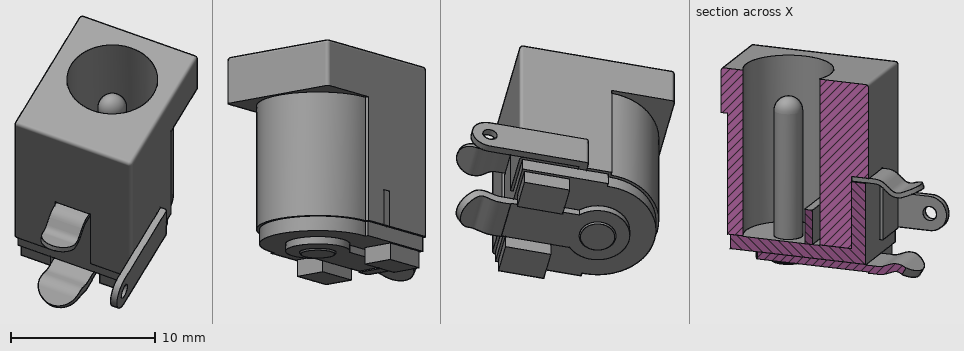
import cadquery as cq
import math


housing_width = 9.0
housing_height = 12.1
back_y = 4.5
front_y = -6.5
edge_radius = 0.25
socket_radius = 3.15
barrel_radius = 4.25
overhang_height = 3.3

base_inset = 0.2
base_thickness = 1.03
foot_height = 1.17
foot_width = 2.25
foot_length = 3.22
foot_outer_x = 4.12
foot_back_y = -2.9
tongue_width = 2.7
tongue_top = 4.9
slot_end_y = -5.22
base_front_y = front_y + base_inset

pin_radius = 1.0
pin_top = 10.09
rivet_neck_radius = 0.78
rivet_neck_length = 0.09
rivet_radius = 1.28
rivet_end_radius = 1.19
rivet_thickness = 0.12

spring_width = 2.5
spring_thickness = 0.35
spring_flat_end_y = -6.89
spring_slope = 40
spring_tip_slope = 20
spring_first_radius = 1.09
spring_ramp_length = 0.58
spring_second_radius = 0.87
spring_tip_length = 1.12

hub_radius = 2.23
hub_thickness = 0.52
tab_width = 3.03
tab_thickness = 0.61
tab_flat_end_y = -7.19
tab_slope = 22
tab_tip_slope = 30
tab_first_radius = 1.54
tab_ramp_length = 0.46
tab_second_radius = 0.93
tab_tip_length = 0.97

side_height = 2.5
side_thickness = 0.5
cross_thickness = 0.6
cross_back_y = -1.74
side_end_y = -10.0
side_corner_radius = 0.17
side_hole_diameter = 1.0


def box_between(x_range, y_range, z_range):
    size = [high - low for low, high in (x_range, y_range, z_range)]
    low_corner = (x_range[0], y_range[0], z_range[0])
    return cq.Workplane("XY").box(*size, centered=False).translate(low_corner)


def lower_outline_prism(inset, z_bottom, height):
    """Square front half and round back half of the lower housing, moved inwards by inset."""
    half_width = housing_width / 2 - inset
    radius = barrel_radius - inset
    return (
        cq.Workplane("XY", origin=(0, 0, z_bottom))
        .moveTo(-half_width, front_y + inset)
        .lineTo(half_width, front_y + inset)
        .lineTo(half_width, -inset)
        .lineTo(radius, -inset)
        .lineTo(radius, 0)
        .threePointArc((0, radius), (-radius, 0))
        .lineTo(-radius, -inset)
        .lineTo(-half_width, -inset)
        .close()
        .extrude(height)
    )


def bend(radius, start_slope, end_slope):
    """Forward and upward travel of an arc between two slopes, in degrees."""
    start = math.radians(start_slope)
    end = math.radians(end_slope)
    side = math.copysign(radius, end - start)
    return side * (math.sin(end) - math.sin(start)), side * (math.cos(start) - math.cos(end))


def straight(length, slope):
    angle = math.radians(slope)
    return length * math.cos(angle), length * math.sin(angle)


def wavy_strip(start_y, top_z, flat_end_y, width, thickness, radii, lengths, slopes):
    """Strip running to -Y: flat, bend, ramp, opposite bend and a straight tip with a round end."""
    ramp_slope, tip_slope = slopes
    steps = [
        (start_y - flat_end_y, 0),
        bend(radii[0], 0, ramp_slope),
        straight(lengths[0], ramp_slope),
        bend(radii[1], ramp_slope, tip_slope),
        straight(lengths[1], tip_slope),
    ]
    middle_z = top_z - thickness / 2
    side_plane = cq.Plane(origin=(0, start_y, middle_z), xDir=(0, -1, 0), normal=(-1, 0, 0))
    path = (
        cq.Workplane(side_plane)
        .line(*steps[0])
        .tangentArcPoint(steps[1])
        .line(*steps[2])
        .tangentArcPoint(steps[3])
        .line(*steps[4])
    )
    strip = cq.Workplane("XZ", origin=(0, start_y, middle_z)).rect(width, thickness).sweep(path)

    run = sum(step[0] for step in steps)
    rise = sum(step[1] for step in steps)
    forward_y, forward_z = straight(1, tip_slope)
    tip_plane = cq.Plane(
        origin=(0, start_y - run, middle_z + rise),
        xDir=(0, -forward_y, forward_z),
        normal=(0, forward_z, forward_y),
    )
    half_width = width / 2
    reach = 2 * run
    round_end = (
        cq.Workplane(tip_plane)
        .moveTo(-reach, -half_width)
        .lineTo(-half_width, -half_width)
        .threePointArc((0, 0), (-half_width, half_width))
        .lineTo(-reach, half_width)
        .close()
        .extrude(reach, both=True)
    )
    return strip.intersect(round_end)


def make_spring_terminal():
    return wavy_strip(
        slot_end_y,
        tongue_top + spring_thickness,
        spring_flat_end_y,
        spring_width,
        spring_thickness,
        (spring_first_radius, spring_second_radius),
        (spring_ramp_length, spring_tip_length),
        (-spring_slope, spring_tip_slope),
    )


def make_pin_terminal():
    top_z = -base_thickness
    tab = wavy_strip(
        front_y,
        top_z,
        tab_flat_end_y,
        tab_width,
        tab_thickness,
        (tab_first_radius, tab_second_radius),
        (tab_ramp_length, tab_tip_length),
        (tab_slope, -tab_tip_slope),
    )
    hub = cq.Workplane("XY", origin=(0, 0, top_z)).circle(hub_radius).extrude(-hub_thickness)
    neck = box_between(
        (-tab_width / 2, tab_width / 2), (front_y, 0), (top_z - hub_thickness, top_z)
    )
    rivet_hole = cq.Workplane("XY").circle(rivet_neck_radius).extrude(top_z - hub_thickness)
    return hub.union(neck).cut(rivet_hole).union(tab)


def make_side_terminal():
    wall_x = housing_width / 2
    outer_x = wall_x + side_thickness
    end_radius = side_height / 2
    cross_leg = box_between(
        (-wall_x, outer_x), (cross_back_y - cross_thickness, cross_back_y), (0, side_height)
    )
    cross_leg = cross_leg.edges("|Z and >X and >Y").fillet(side_corner_radius)
    end_center_y = side_end_y + end_radius
    side_leg = box_between(
        (wall_x, outer_x), (end_center_y, cross_back_y - cross_thickness), (0, side_height)
    )
    end_plane = cq.Workplane("YZ", origin=(wall_x, end_center_y, end_radius))
    round_end = end_plane.circle(end_radius).extrude(side_thickness)
    hole = end_plane.circle(side_hole_diameter / 2).extrude(side_thickness)
    return cross_leg.union(side_leg).union(round_end).cut(hole)


def make_pin():
    neck_bottom = -base_thickness - hub_thickness - rivet_neck_length
    rivet_bottom = neck_bottom - rivet_thickness
    dome_z = pin_top - pin_radius
    dome_middle = pin_radius * math.sqrt(0.5)
    return (
        cq.Workplane("XZ")
        .moveTo(0, rivet_bottom)
        .lineTo(rivet_end_radius, rivet_bottom)
        .lineTo(rivet_radius, neck_bottom)
        .lineTo(rivet_neck_radius, neck_bottom)
        .lineTo(rivet_neck_radius, 0)
        .lineTo(pin_radius, 0)
        .lineTo(pin_radius, dome_z)
        .threePointArc((dome_middle, dome_z + dome_middle), (0, pin_top))
        .close()
        .revolve(360, (0, 0, 0), (0, 1, 0))
    )


def make_base():
    plate = lower_outline_prism(base_inset, -base_thickness, base_thickness)
    tongue = box_between(
        (-tongue_width / 2, tongue_width / 2), (base_front_y, slot_end_y), (0, tongue_top)
    )
    base = plate.union(tongue)
    for foot_x in (-foot_outer_x, foot_outer_x - foot_width):
        foot = box_between(
            (foot_x, foot_x + foot_width),
            (foot_back_y - foot_length, foot_back_y),
            (-base_thickness - foot_height, -base_thickness),
        )
        base = base.union(foot)
    rivet_hole = cq.Workplane("XY").circle(rivet_neck_radius).extrude(-base_thickness)
    return base.cut(rivet_hole)


def make_housing():
    half_width = housing_width / 2
    block = box_between((-half_width, half_width), (front_y, back_y), (0, housing_height))
    block = block.edges("|Z or >Z").fillet(edge_radius)

    overhang_z = housing_height - overhang_height
    back_space = box_between((-half_width, half_width), (0, back_y), (0, overhang_z))
    barrel = cq.Workplane("XY").circle(barrel_radius).extrude(overhang_z)
    housing = block.cut(back_space.cut(barrel))

    socket = cq.Workplane("XY").circle(socket_radius).extrude(housing_height)
    front_slot = box_between(
        (-tongue_width / 2, tongue_width / 2),
        (front_y, slot_end_y),
        (0, tongue_top + spring_thickness),
    )
    cross_slot = box_between(
        (-half_width, half_width), (cross_back_y - cross_thickness, cross_back_y), (0, side_height)
    )
    return housing.cut(socket).cut(front_slot).cut(cross_slot)


housing = make_housing()
base = make_base()
pin = make_pin()
spring_terminal = make_spring_terminal()
pin_terminal = make_pin_terminal()
side_terminal = make_side_terminal()

result = cq.Compound.makeCompound(
    [
        housing.solids().val(),
        base.solids().val(),
        pin.solids().val(),
        spring_terminal.solids().val(),
        pin_terminal.solids().val(),
        side_terminal.solids().val(),
    ]
)